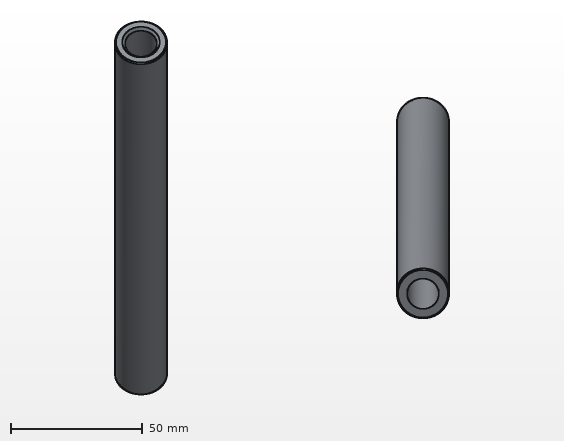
import cadquery as cq

length = 220.0
outer_diameter = 20.0
bore_diameter = 12.0
rim_chamfer = 0.5
bore_mouth_chamfer = 1.0

bar = (
    cq.Workplane("XY")
    .circle(outer_diameter / 2)
    .extrude(length)
    .faces("<Z or >Z")
    .edges()
    .chamfer(rim_chamfer)
)

tube = bar.faces(">Z").workplane().hole(bore_diameter)

smallest_circle = cq.selectors.RadiusNthSelector(0)
result = tube.faces(">Z").edges(smallest_circle).chamfer(bore_mouth_chamfer)